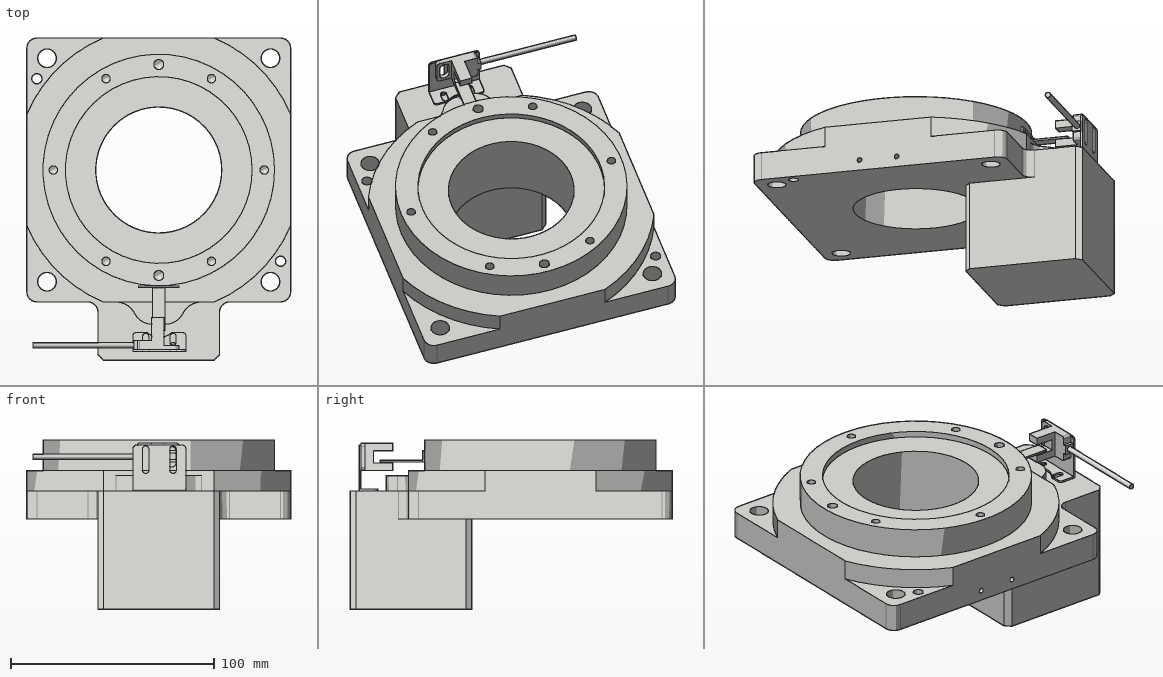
import cadquery as cq
import math

PLATE_SIZE = 130.0
PLATE_THICKNESS = 14.0
PLATE_CORNER_RADIUS = 5.1
TIER_DIAMETER = 141.0
TIER_HEIGHT = 10.0
TURNTABLE_DIAMETER = 114.0
TURNTABLE_HEIGHT = 15.1
RECESS_DIAMETER = 92.0
RECESS_DEPTH = 3.0
BORE_DIAMETER = 62.0

BOLT_SPACING = 110.0
BOLT_HOLE_DIAMETER = 9.0
DOWEL_X = 60.0
DOWEL_Y = 45.0
DOWEL_HOLE_DIAMETER = 5.0

RING_RADIUS = 52.0
RING_SCREW_DIAMETER = 4.1
RING_DOWEL_DIAMETER = 5.0
RING_HOLE_DEPTH = 10.0
DRILL_POINT_ANGLE = 118.0

SIDE_HOLE_SPACING = 19.0
SIDE_HOLE_DIAMETER = 2.4
SIDE_HOLE_DEPTH = 6.0
SIDE_HOLE_Z = 5.2

OVERALL_DEPTH = 158.8
MOTOR_SIZE = 60.0
MOTOR_HEIGHT = 58.5
MOTOR_CHAMFER = 2.9
NECK_RADIUS = 5.0
HUMP_REACH = 11.0
HUMP_FLAT_WIDTH = 6.0
HUMP_HALF_WIDTH = 21.0
HUMP_HEIGHT = 7.5

FLAG_THICKNESS = 1.0
FLAG_WIDTH = 20.0
FLAG_HEIGHT = 5.7
FLAG_DROP = 5.2
FLAG_REACH = 21.9
FLAG_TAB_WIDTH = 6.4
FLAG_BEND_RADIUS = 0.5
FLAG_SLOT_LENGTH = 5.4
FLAG_SLOT_HEIGHT = 3.3
FLAG_SLOT_CORNER_RADIUS = 1.1
FLAG_SLOT_SPACING = 11.8

BRACKET_X = 0.3
BRACKET_INSET = 4.5
BRACKET_THICKNESS = 1.0
BRACKET_WIDTH = 26.0
BRACKET_HEIGHT = 22.5
WALL_CORNER_RADIUS = 1.9
FOOT_CORNER_RADIUS = 1.5
BRACKET_BEND_RADIUS = 0.5
FOOT_LENGTH = 9.2
BRACKET_SLOT_SPACING = 13.5
WALL_SLOT_WIDTH = 3.2
WALL_SLOT_LENGTH = 13.5
WALL_SLOT_MARGIN = 0.5
FOOT_SLOT_WIDTH = 3.0
FOOT_SLOT_LENGTH = 5.9
FOOT_SLOT_MARGIN = 0.3
FOOT_NOTCH_RADIUS = 8.5
FOOT_NOTCH_OFFSET = 6.2
BRACKET_SCREW_DIAMETER = 2.5
BRACKET_SCREW_DEPTH = 5.0
BRACKET_SCREW_INSET = 6.0

SENSOR_HEIGHT = 13.5
SENSOR_LEFT = -10.5
SENSOR_RIGHT = 10.0
SENSOR_LEFT_RADIUS = 1.1
SENSOR_RIGHT_RADIUS = 1.6
THICK_FLANGE = 4.5
THIN_FLANGE = 2.0
FORK_X = -0.5
FORK_WIDTH = 6.0
FORK_LENGTH = 15.7
FORK_GAP = 5.9
FORK_GAP_DEPTH = 9.5
FLANGE_SLOT_X = 6.2
FLANGE_SLOT_WIDTH = 4.8
FLANGE_SLOT_LENGTH = 10.2
CABLE_DIAMETER = 2.7
CABLE_END = -62.0
CABLE_GAP = 0.6
GLAND_LENGTH = 1.6
GLAND_HEIGHT = 5.0

PLATE_FRONT = -PLATE_SIZE / 2
TIER_TOP = PLATE_THICKNESS + TIER_HEIGHT
TURNTABLE_TOP = TIER_TOP + TURNTABLE_HEIGHT
MOTOR_FRONT = PLATE_SIZE / 2 - OVERALL_DEPTH
BRACKET_FRONT = MOTOR_FRONT + BRACKET_INSET
SENSOR_FRONT = BRACKET_FRONT + BRACKET_THICKNESS
FOOT_REAR = BRACKET_FRONT + FOOT_LENGTH
FOOT_SLOT_Y = FOOT_REAR - FOOT_SLOT_MARGIN - FOOT_SLOT_LENGTH / 2
BRACKET_SLOT_XS = [BRACKET_X + side * BRACKET_SLOT_SPACING / 2 for side in (-1, 1)]


def box(x0, x1, y0, y1, z0, z1):
    """Box given by its limits along X, Y and Z."""
    return cq.Workplane("XY").box(x1 - x0, y1 - y0, z1 - z0, centered=False).translate((x0, y0, z0))


def cylinder(diameter, z0, z1):
    """Upright cylinder on the turntable's axis."""
    return cq.Workplane("XY").workplane(offset=z0).circle(diameter / 2).extrude(z1 - z0)


def blind_holes(points, diameter, depth, top):
    """Cutter for drilled holes with conical ends, going down from the level `top`."""
    radius = diameter / 2
    tip = radius / math.tan(math.radians(DRILL_POINT_ANGLE / 2))
    profile = [(0, 0), (radius, 0), (radius, -depth), (0, -depth - tip)]
    drill = cq.Workplane("XZ").polyline(profile).close().revolve(360, (0, 0, 0), (0, 1, 0)).val()
    cutter = cq.Workplane("XY")
    for x, y in points:
        cutter = cutter.add(drill.translate(cq.Vector(x, y, top)))
    return cutter.combine()


def ring_points(angles):
    """Points on the turntable's hole circle."""
    return [(RING_RADIUS * math.cos(math.radians(a)), RING_RADIUS * math.sin(math.radians(a)))
            for a in angles]


def make_hump():
    """Bell-shaped step in front of the tier: a flat tip and two equal tangent arcs on each flank."""
    flat_x = HUMP_FLAT_WIDTH / 2
    flank_width = HUMP_HALF_WIDTH - flat_x
    radius = (flank_width**2 + HUMP_REACH**2) / (4 * HUMP_REACH)
    bend = math.asin(flank_width / (2 * radius))
    arc_x = radius * math.sin(bend / 2)
    arc_y = radius * (1 - math.cos(bend / 2))
    blend = (flat_x + flank_width / 2, PLATE_FRONT - HUMP_REACH / 2)
    tip_y = PLATE_FRONT - HUMP_REACH
    half = (
        cq.Workplane("XY").workplane(offset=PLATE_THICKNESS)
        .moveTo(0, PLATE_FRONT)
        .lineTo(0, tip_y)
        .lineTo(flat_x, tip_y)
        .threePointArc((flat_x + arc_x, tip_y + arc_y), blend)
        .threePointArc((HUMP_HALF_WIDTH - arc_x, PLATE_FRONT - arc_y), (HUMP_HALF_WIDTH, PLATE_FRONT))
        .close().extrude(HUMP_HEIGHT)
    )
    return half.union(half.mirror("YZ"))


def make_neck_fillet(side):
    """Concave corner between the plate's front face and one side of the motor block."""
    wall_x = side * MOTOR_SIZE / 2
    sweep = NECK_RADIUS * (1 - math.sqrt(0.5))
    return (
        cq.Workplane("XY")
        .moveTo(wall_x, PLATE_FRONT)
        .lineTo(wall_x + side * NECK_RADIUS, PLATE_FRONT)
        .threePointArc((wall_x + side * sweep, PLATE_FRONT - sweep), (wall_x, PLATE_FRONT - NECK_RADIUS))
        .close().extrude(PLATE_THICKNESS)
    )


def make_stage():
    plate = cq.Workplane("XY").rect(PLATE_SIZE, PLATE_SIZE).extrude(PLATE_THICKNESS)
    plate = plate.edges("|Z").fillet(PLATE_CORNER_RADIUS)
    tier = cylinder(TIER_DIAMETER, PLATE_THICKNESS, TIER_TOP).intersect(
        cq.Workplane("XY").rect(PLATE_SIZE, PLATE_SIZE).extrude(TIER_TOP))
    turntable = cylinder(TURNTABLE_DIAMETER, TIER_TOP, TURNTABLE_TOP)
    motor = box(-MOTOR_SIZE / 2, MOTOR_SIZE / 2, MOTOR_FRONT, MOTOR_FRONT + MOTOR_SIZE,
                PLATE_THICKNESS - MOTOR_HEIGHT, PLATE_THICKNESS)
    motor = motor.edges("|Z").chamfer(MOTOR_CHAMFER)
    stage = plate.union(tier).union(turntable).union(motor).union(make_hump())
    for side in (-1, 1):
        stage = stage.union(make_neck_fillet(side))

    stage = stage.cut(cylinder(RECESS_DIAMETER, TURNTABLE_TOP - RECESS_DEPTH, TURNTABLE_TOP))
    stage = stage.cut(cylinder(BORE_DIAMETER, 0, TURNTABLE_TOP))

    bolts = cq.Workplane("XY").rect(BOLT_SPACING, BOLT_SPACING, forConstruction=True).vertices()
    stage = stage.cut(bolts.circle(BOLT_HOLE_DIAMETER / 2).extrude(PLATE_THICKNESS))
    dowels = cq.Workplane("XY").pushPoints([(-DOWEL_X, DOWEL_Y), (DOWEL_X, -DOWEL_Y)])
    stage = stage.cut(dowels.circle(DOWEL_HOLE_DIAMETER / 2).extrude(PLATE_THICKNESS))

    screw_points = ring_points(range(0, 360, 60))
    stage = stage.cut(blind_holes(screw_points, RING_SCREW_DIAMETER, RING_HOLE_DEPTH, TURNTABLE_TOP))
    dowel_points = ring_points((90, 270))
    stage = stage.cut(blind_holes(dowel_points, RING_DOWEL_DIAMETER, RING_HOLE_DEPTH, TURNTABLE_TOP))

    side_holes = (
        cq.Workplane("YZ").workplane(offset=-PLATE_SIZE / 2)
        .pushPoints([(side * SIDE_HOLE_SPACING / 2, SIDE_HOLE_Z) for side in (-1, 1)])
        .circle(SIDE_HOLE_DIAMETER / 2).extrude(SIDE_HOLE_DEPTH)
    )
    stage = stage.cut(side_holes)

    bracket_screws = [(x, FOOT_REAR - BRACKET_SCREW_INSET) for x in BRACKET_SLOT_XS]
    return stage.cut(blind_holes(bracket_screws, BRACKET_SCREW_DIAMETER, BRACKET_SCREW_DEPTH,
                                 PLATE_THICKNESS))


def make_flag():
    back = -TURNTABLE_DIAMETER / 2
    top = TURNTABLE_TOP - FLAG_DROP
    bottom = top - FLAG_HEIGHT
    wall = box(-FLAG_WIDTH / 2, FLAG_WIDTH / 2, back - FLAG_THICKNESS, back, bottom, top)
    tab = box(-FLAG_TAB_WIDTH / 2, FLAG_TAB_WIDTH / 2, back - FLAG_REACH, back,
              bottom, bottom + FLAG_THICKNESS)
    slots = (
        cq.Workplane("XZ", origin=(0, back, (top + bottom) / 2))
        .pushPoints([(side * FLAG_SLOT_SPACING / 2, 0) for side in (-1, 1)])
        .rect(FLAG_SLOT_LENGTH, FLAG_SLOT_HEIGHT).extrude(FLAG_THICKNESS)
        .edges("|Y").fillet(FLAG_SLOT_CORNER_RADIUS)
    )
    flag = wall.union(tab)
    inner_corner = cq.NearestToPointSelector((0, back - FLAG_THICKNESS, bottom + FLAG_THICKNESS))
    return flag.edges(inner_corner).fillet(FLAG_BEND_RADIUS).cut(slots)


def make_bracket():
    left = BRACKET_X - BRACKET_WIDTH / 2
    right = BRACKET_X + BRACKET_WIDTH / 2
    bottom = PLATE_THICKNESS
    top = bottom + BRACKET_HEIGHT
    wall = box(left, right, BRACKET_FRONT, SENSOR_FRONT, bottom, top)
    wall = wall.edges("|Y and >Z").fillet(WALL_CORNER_RADIUS)
    foot = box(left, right, BRACKET_FRONT, FOOT_REAR, bottom, bottom + BRACKET_THICKNESS)
    foot = foot.edges("|Z and >Y").fillet(FOOT_CORNER_RADIUS)

    wall_slots = (
        cq.Workplane("XZ", origin=(0, SENSOR_FRONT, top - WALL_SLOT_MARGIN - WALL_SLOT_LENGTH / 2))
        .pushPoints([(x, 0) for x in BRACKET_SLOT_XS])
        .slot2D(WALL_SLOT_LENGTH, WALL_SLOT_WIDTH, 90).extrude(BRACKET_THICKNESS)
    )
    foot_slots = (
        cq.Workplane("XY", origin=(0, FOOT_SLOT_Y, bottom))
        .pushPoints([(x, 0) for x in BRACKET_SLOT_XS])
        .slot2D(FOOT_SLOT_LENGTH, FOOT_SLOT_WIDTH, 90).extrude(BRACKET_THICKNESS)
    )
    notch = (
        cq.Workplane("XY", origin=(BRACKET_X, FOOT_REAR + FOOT_NOTCH_OFFSET, bottom))
        .circle(FOOT_NOTCH_RADIUS).extrude(BRACKET_THICKNESS)
    )
    bracket = wall.cut(wall_slots).union(foot.cut(foot_slots).cut(notch))
    outer_corner = cq.NearestToPointSelector((BRACKET_X, BRACKET_FRONT, bottom))
    return bracket.edges(outer_corner).fillet(BRACKET_BEND_RADIUS)


def make_sensor():
    bottom = TIER_TOP
    top = bottom + SENSOR_HEIGHT
    middle = bottom + SENSOR_HEIGHT / 2
    fork_left = FORK_X - FORK_WIDTH / 2
    fork_right = FORK_X + FORK_WIDTH / 2
    fork_end = SENSOR_FRONT + FORK_LENGTH

    thick_flange = box(SENSOR_LEFT, fork_right, SENSOR_FRONT, SENSOR_FRONT + THICK_FLANGE, bottom, top)
    thick_flange = thick_flange.edges("|Y and <X").fillet(SENSOR_LEFT_RADIUS)
    thin_flange = box(fork_right, SENSOR_RIGHT, SENSOR_FRONT, SENSOR_FRONT + THIN_FLANGE, bottom, top)
    thin_flange = thin_flange.edges("|Y and >X").fillet(SENSOR_RIGHT_RADIUS)
    flange_slot = (
        cq.Workplane("XZ", origin=(FLANGE_SLOT_X, SENSOR_FRONT + THIN_FLANGE, middle))
        .slot2D(FLANGE_SLOT_LENGTH, FLANGE_SLOT_WIDTH, 90).extrude(THIN_FLANGE)
    )
    fork = box(fork_left, fork_right, SENSOR_FRONT, fork_end, bottom, top)
    gap = box(fork_left, fork_right, fork_end - FORK_GAP_DEPTH, fork_end,
              middle - FORK_GAP / 2, middle + FORK_GAP / 2)

    gland = box(SENSOR_LEFT - GLAND_LENGTH, SENSOR_LEFT, SENSOR_FRONT, SENSOR_FRONT + THICK_FLANGE,
                middle - GLAND_HEIGHT / 2, middle + GLAND_HEIGHT / 2)
    cable_y = SENSOR_FRONT + CABLE_GAP + CABLE_DIAMETER / 2
    cable = (
        cq.Workplane("YZ", origin=(CABLE_END, cable_y, middle))
        .circle(CABLE_DIAMETER / 2).extrude(SENSOR_LEFT - CABLE_END)
    )
    sensor = thick_flange.union(thin_flange.cut(flange_slot)).union(fork.cut(gap))
    return sensor.union(gland).union(cable)


stage = make_stage()
flag = make_flag()
bracket = make_bracket()
sensor = make_sensor()

result = cq.Compound.makeCompound([stage.val(), flag.val(), bracket.val(), sensor.val()])